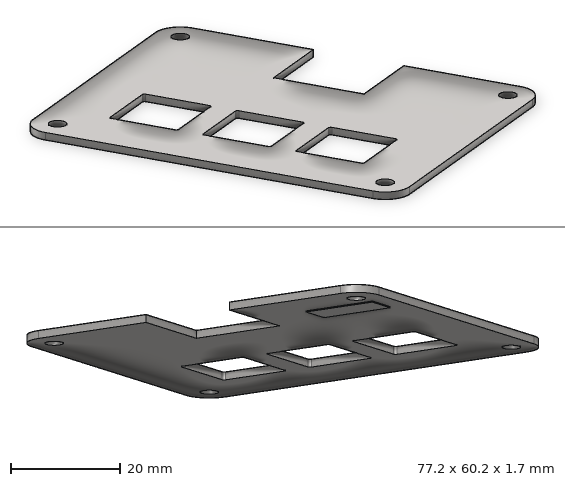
import cadquery as cq

length = 77.2
width = 60.2
overall_height = 1.7
pad_height = 0.2
plate_thickness = overall_height - pad_height
corner_radius = 5.0

hole_diameter = 3.4
hole_spacing_x = length - 2 * corner_radius
hole_spacing_y = width - 2 * corner_radius

notch_width = 18.5
notch_depth = 16.3
notch_center_x = 0.5

window_count = 3
window_size = 14.0
window_pitch = 19.1
window_corner_radius = 0.5
window_row_center_x = -0.4
window_row_center_y = -11.2

pad_length = 14.75
pad_width = 5.8
pad_center_x = -27.3
pad_center_y = 18.6


def make_plate():
    """Rounded rectangular plate with its underside on Z = 0."""
    plate = cq.Workplane("XY").box(length, width, plate_thickness, centered=(True, True, False))
    return plate.edges("|Z").fillet(corner_radius)


def make_mounting_holes():
    """Cutting cylinders for the four corner holes."""
    holes = cq.Workplane("XY").rect(hole_spacing_x, hole_spacing_y, forConstruction=True).vertices()
    return holes.circle(hole_diameter / 2).extrude(plate_thickness)


def make_notch():
    """Cutting block for the notch in the +Y edge."""
    notch_center_y = (width - notch_depth) / 2
    notch = cq.Workplane("XY").center(notch_center_x, notch_center_y)
    return notch.rect(notch_width, notch_depth).extrude(plate_thickness)


def make_windows():
    """Cutting blocks for the row of windows, with slightly rounded corners."""
    windows = cq.Workplane("XY").center(window_row_center_x, window_row_center_y)
    windows = windows.rarray(window_pitch, window_pitch, window_count, 1)
    windows = windows.rect(window_size, window_size).extrude(plate_thickness)
    return windows.edges("|Z").fillet(window_corner_radius)


def make_pad():
    """Thin pad standing down from the underside of the plate."""
    pad = cq.Workplane("XY").center(pad_center_x, pad_center_y)
    return pad.rect(pad_length, pad_width).extrude(-pad_height)


plate = make_plate().cut(make_mounting_holes()).cut(make_notch()).cut(make_windows())
result = plate.union(make_pad())